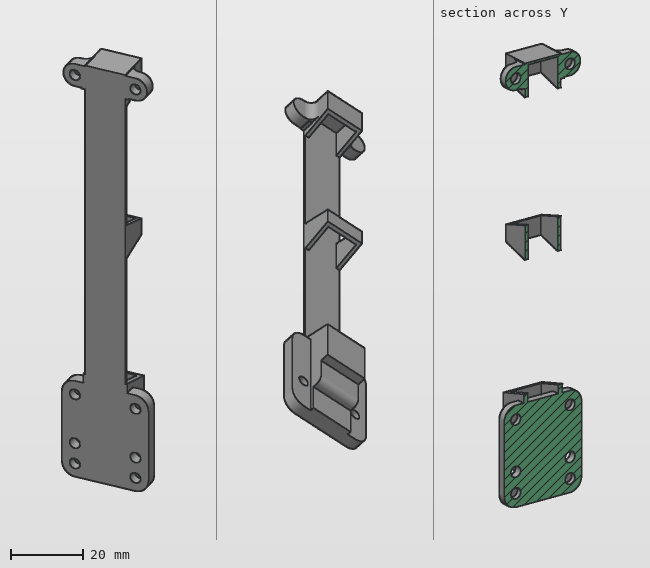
import cadquery as cq

length = 131.6
arm_width = 12.4
skin = 0.8
foot_wall = 1.6
arm_wall = 1.2

foot_width = 26.6
foot_height = 30.5
plate_thickness = 3.7
foot_corner_radius = 4.2
block_width = 13.4
block_depth = 10.9
block_shoulder = 30.5
step_depth = 8.2
step_height = 17.4
ledge_depth = 4.9
ledge_height = 9.1
step_radius = 2.0

slope_rise = 2.8
stand_depth = 10.4
stand_bottom = 75.5
stand_top = 80.7
head_height = 7.6

ear_radius = 3.5
ear_setback = 0.3
root_width = 14.5
ear_fillet = 2.6

hole_diameter = 3.2
hole_spacing = 18.5
hole_offset = hole_spacing / 2
blind_depth = plate_thickness - skin
foot_blind_heights = (4.2, 26.2)
through_height = 10.7
ear_top = length - ear_setback
ear_bottom = ear_top - 2 * ear_radius
ear_center = ear_top - ear_radius


def box(width, y_min, y_max, z_min, z_max):
    """Box centred on x = 0."""
    size = (width, y_max - y_min, z_max - z_min)
    return cq.Workplane("XY").box(*size, centered=(True, False, False)).translate((0, y_min, z_min))


def side_profile(points, width):
    """Extrude a (y, z) outline symmetrically about x = 0."""
    return cq.Workplane("YZ").polyline(points).close().extrude(width / 2, both=True)


def holes(height, depth):
    """Left and right screw holes drilled from the front face."""
    centers = [(-hole_offset, height), (hole_offset, height)]
    return cq.Workplane("XZ").pushPoints(centers).circle(hole_diameter / 2).extrude(-depth)


def cavity(width, depth, wall, z_min, z_max):
    """Hollow behind the arm, leaving a wall on both sides and at the back."""
    return box(width - 2 * wall, skin, depth - wall, z_min, z_max)


def make_foot():
    plate = box(foot_width, 0, plate_thickness, 0, foot_height).edges("|Y").fillet(foot_corner_radius)
    block = side_profile(
        [
            (0, 0),
            (ledge_depth, 0),
            (ledge_depth, ledge_height),
            (step_depth, ledge_height),
            (step_depth, step_height),
            (block_depth, step_height),
            (block_depth, block_shoulder),
            (skin, block_shoulder + slope_rise),
            (0, block_shoulder + slope_rise),
        ],
        block_width,
    )
    step_corner = cq.selectors.NearestToPointSelector((0, step_depth, ledge_height))
    block = block.edges(step_corner).fillet(step_radius)
    pocket = cavity(block_width, block_depth, foot_wall, step_height + skin, block_shoulder + slope_rise)
    return plate.union(block.cut(pocket))


def make_stand():
    base_bottom = stand_bottom - slope_rise
    base_top = stand_top + slope_rise
    stand = side_profile(
        [
            (0, base_bottom),
            (skin, base_bottom),
            (stand_depth, stand_bottom),
            (stand_depth, stand_top),
            (skin, base_top),
            (0, base_top),
        ],
        arm_width,
    )
    return stand.cut(cavity(arm_width, stand_depth, arm_wall, base_bottom, base_top))


def make_head():
    shoulder = length - head_height
    block = side_profile(
        [
            (0, shoulder - slope_rise),
            (skin, shoulder - slope_rise),
            (stand_depth, shoulder),
            (stand_depth, length),
            (0, length),
        ],
        arm_width,
    )
    block = block.cut(cavity(arm_width, stand_depth, arm_wall, shoulder - slope_rise, length - skin))
    ears = (
        cq.Workplane("XZ")
        .center(0, ear_center)
        .slot2D(2 * (hole_offset + ear_radius), 2 * ear_radius)
        .extrude(-plate_thickness)
        .cut(box(arm_width - 2 * arm_wall, skin, plate_thickness, shoulder, length - skin))
    )
    head = block.union(ears)
    for side in (-1, 1):
        wall = side * arm_width / 2
        root = box(root_width, 0, plate_thickness, shoulder, ear_top)
        root = root.cut(box(arm_width, 0, plate_thickness, shoulder, ear_top))
        gusset = (
            cq.Workplane("XY", origin=(0, 0, ear_bottom))
            .moveTo(wall, plate_thickness)
            .lineTo(wall + side * ear_fillet, plate_thickness)
            .radiusArc((wall, plate_thickness + ear_fillet), side * ear_fillet)
            .close()
            .extrude(2 * ear_radius)
        )
        head = head.union(root).union(gusset)
    return head


arm = box(arm_width, 0, skin, 0, length)
result = arm.union(make_foot()).union(make_stand()).union(make_head())
for height in foot_blind_heights + (ear_center,):
    result = result.cut(holes(height, blind_depth))
result = result.cut(holes(through_height, plate_thickness))